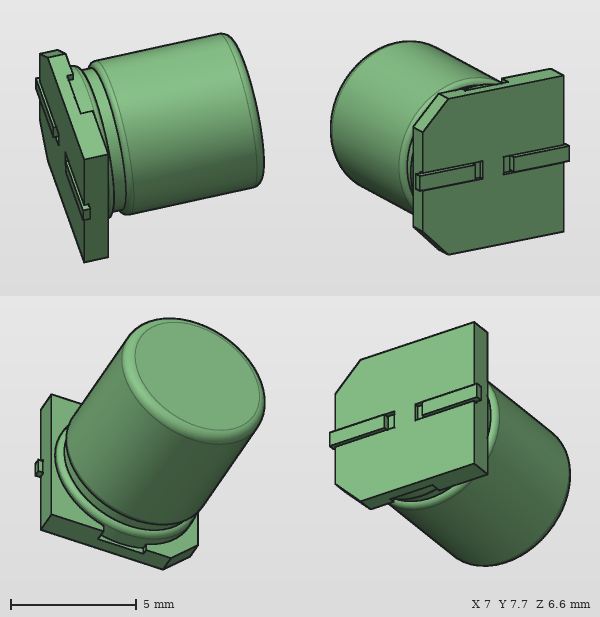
import cadquery as cq


total_height = 7.7
lead_span = 7.0
base_side = 6.6

standoff = 0.1
floor_height = 0.6
chamfered_end_height = 0.85
square_end_height = 1.1
floor_width = 2.0
corner_chamfer = 1.2

lead_length = 2.6
lead_width = 0.63
lead_thickness = 0.3
groove_width = 0.75
groove_spacing = 0.985

can_radius = 3.15
neck_radius = 2.9
neck_bottom = 1.45
neck_top = 1.95
lip_radius = can_radius - neck_radius
top_radius = 0.4


def block(x_start, x_end, y_start, y_end, width):
    """Box between the given X and Y limits, centred on Z = 0."""
    return (
        cq.Workplane("XY")
        .box(x_end - x_start, y_end - y_start, width, centered=(False, False, True))
        .translate((x_start, y_start, 0))
    )


def mirrored_pair(body):
    """The body together with its mirror image across X = 0."""
    return body.union(body.mirror("YZ"))


def make_base():
    """Square plate with two raised ends, chamfered corners at -X and lead grooves."""
    half_side = base_side / 2
    half_floor = floor_width / 2
    plate = block(-half_side, half_side, standoff, floor_height, base_side)
    chamfered_end = block(-half_side, -half_floor, standoff, chamfered_end_height, base_side)
    square_end = block(half_floor, half_side, standoff, square_end_height, base_side)
    base = plate.union(chamfered_end).union(square_end)
    base = base.edges("|Y and <X").chamfer(corner_chamfer)
    groove = block(groove_spacing / 2, half_side, standoff, lead_thickness, groove_width)
    return base.cut(mirrored_pair(groove))


def make_can():
    """Round can with a rolled neck above its foot and a rounded top edge."""

    def cylinder(radius, start, end):
        return cq.Workplane("XZ", origin=(0, start, 0)).circle(radius).extrude(start - end)

    foot = cylinder(can_radius, floor_height, neck_bottom).faces(">Y").edges().fillet(lip_radius)
    neck = cylinder(neck_radius, neck_bottom, neck_top)
    body = cylinder(can_radius, neck_top, total_height)
    body = body.faces("<Y").edges().fillet(lip_radius)
    body = body.faces(">Y").edges().fillet(top_radius)
    return foot.union(neck).union(body)


def make_leads():
    """Flat bars seated against the groove roofs, one on each side."""
    outer_end = lead_span / 2
    lead = block(outer_end - lead_length, outer_end, 0, lead_thickness, lead_width)
    return mirrored_pair(lead)


result = make_base().union(make_can()).union(make_leads())